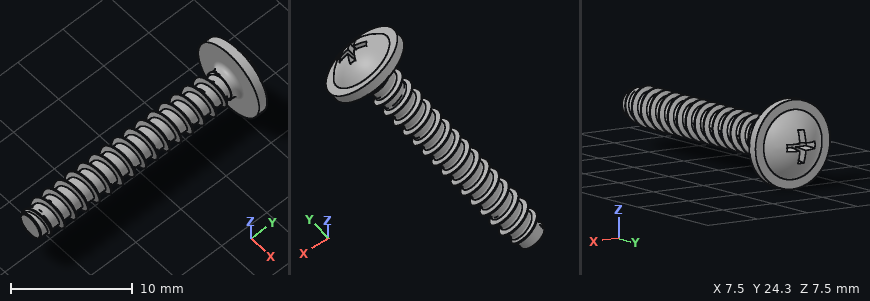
import cadquery as cq
import math


flange_diameter = 7.5
flange_thickness = 0.9
dome_base_diameter = 5.85
head_height = 2.36

recess_diameter = 2.9
recess_wing_width = 0.62
recess_depth = 1.3
recess_taper = 10.0

shank_length = 22.0
neck_radius = 1.37
neck_length = 0.89
neck_fillet = 0.5
core_radius = 1.27
tip_radius = 1.17
tip_length = 0.1

thread_radius = 1.75
thread_pitch = 1.29
full_turns = 14
head_fade_turns = 1
tip_fade_turns = 1.25
fade_radius = 1.36
thread_start = 0.72

crest_width = 0.1
lower_flank_reach = 0.2
knee_radius = 1.33
knee_reach = 0.24
shoulder_reach = 0.46
edge_sink = 0.01
root_sink = 0.1

thread_length = (full_turns + head_fade_turns + tip_fade_turns) * thread_pitch
thread_stop = thread_start + thread_length


def make_head():
    """Domed washer head with its filleted neck, without the recess."""
    dome_base = dome_base_diameter / 2
    dome_height = head_height - flange_thickness
    dome_radius = (dome_base**2 + dome_height**2) / (2 * dome_height)
    half_sweep = math.asin(dome_base / dome_radius) / 2
    dome_middle = (
        dome_radius * math.sin(half_sweep),
        head_height - dome_radius * (1 - math.cos(half_sweep)),
    )
    fillet_inset = neck_fillet * (1 - math.sqrt(0.5))
    fillet_middle = (neck_radius + fillet_inset, -fillet_inset)

    return (
        cq.Workplane("XY")
        .moveTo(0, head_height)
        .threePointArc(dome_middle, (dome_base, flange_thickness))
        .lineTo(flange_diameter / 2, flange_thickness)
        .lineTo(flange_diameter / 2, 0)
        .lineTo(neck_radius + neck_fillet, 0)
        .threePointArc(fillet_middle, (neck_radius, -neck_fillet))
        .lineTo(neck_radius, -neck_length)
        .lineTo(0, -neck_length)
        .close()
        .revolve(360, (0, 0, 0), (0, 1, 0))
    )


def make_recess():
    """Cross-shaped driver recess, narrowing from the top of the head downward."""
    half_span = recess_diameter / 2
    half_wing = recess_wing_width / 2
    top_plane = cq.Plane(origin=(0, head_height, 0), xDir=(1, 0, 0), normal=(0, -1, 0))

    def wing(size_x, size_z):
        taper_run = recess_depth * math.tan(math.radians(recess_taper))
        return (
            cq.Workplane(top_plane)
            .rect(size_x, size_z)
            .workplane(offset=recess_depth)
            .rect(size_x - 2 * taper_run, size_z - taper_run)
            .loft(ruled=True)
        )

    along_x = wing(2 * half_span, 2 * half_wing)
    along_z = along_x.rotate((0, 0, 0), (0, 1, 0), 90)
    return along_x.union(along_z)


def make_core():
    """Plain cylinder that carries the thread."""
    return cq.Workplane("XZ").circle(core_radius).extrude(shank_length)


def make_tip_trim():
    """Ring that tapers the end of the core."""
    return (
        cq.Workplane("XY")
        .moveTo(core_radius, -shank_length + tip_length)
        .lineTo(tip_radius, -shank_length)
        .lineTo(core_radius, -shank_length)
        .close()
        .revolve(360, (0, 0, 0), (0, 1, 0))
    )


def make_helix(start_turn, turns, start_radius, end_radius, lift):
    """Stretch of a helix about Z, raised by lift and changing evenly in radius."""
    origin = cq.Vector(0, 0, 0)
    axis = cq.Vector(0, 0, 1)
    rise = turns * thread_pitch
    if start_radius == end_radius:
        helix = cq.Wire.makeHelix(thread_pitch, rise, start_radius)
    else:
        cone_angle = math.atan2(end_radius - start_radius, rise)
        slant = 1 / math.cos(cone_angle)
        helix = cq.Wire.makeHelix(
            thread_pitch * slant,
            rise * slant,
            start_radius,
            origin,
            axis,
            math.degrees(cone_angle),
        )
    turned = helix.rotate(origin, axis, 360 * start_turn)
    return turned.translate(axis * (start_turn * thread_pitch + lift)).Edges()[0]


def thread_form(crest_radius):
    """Corners (radius, height) of the thread form, from its tip side to its head side."""
    half_crest = crest_width / 2
    edge_radius = core_radius - edge_sink
    hidden_radius = core_radius - root_sink
    return [
        (hidden_radius, -lower_flank_reach),
        (edge_radius, -lower_flank_reach),
        (crest_radius, -half_crest),
        (crest_radius, half_crest),
        (knee_radius, knee_reach),
        (edge_radius, shoulder_reach),
        (hidden_radius, shoulder_reach),
    ]


def make_ridge_faces(start_turn, turns, start_crest, end_crest):
    """Helical faces of one stretch of thread, with its crest radius at either end."""
    corner_pairs = zip(thread_form(start_crest), thread_form(end_crest))
    helices = [
        make_helix(start_turn, turns, start_radius, end_radius, height)
        for (start_radius, height), (end_radius, _) in corner_pairs
    ]
    return [
        cq.Face.makeRuledSurface(helices[i - 1], helices[i])
        for i in range(len(helices))
    ]


def make_ridge_end(turn, crest_radius):
    """Flat face closing the thread after the given number of turns."""
    angle = 2 * math.pi * turn
    corners = [
        cq.Vector(radius * math.cos(angle), radius * math.sin(angle), turn * thread_pitch + height)
        for radius, height in thread_form(crest_radius)
    ]
    return cq.Face.makeFromWires(cq.Wire.makePolygon(corners, close=True))


def make_thread():
    """Right-hand thread that rises below the head and fades out near the tip."""
    head_fade_start = tip_fade_turns + full_turns
    stretches = [
        (0, tip_fade_turns, fade_radius, thread_radius),
        (tip_fade_turns, full_turns, thread_radius, thread_radius),
        (head_fade_start, head_fade_turns, thread_radius, fade_radius),
    ]
    faces = [
        make_ridge_end(0, fade_radius),
        make_ridge_end(head_fade_start + head_fade_turns, fade_radius),
    ]
    for stretch in stretches:
        faces += make_ridge_faces(*stretch)
    ridge = cq.Solid.makeSolid(cq.Shell.makeShell(faces))
    return (
        cq.Workplane(ridge)
        .rotate((0, 0, 0), (0, 0, 1), 180)
        .rotate((0, 0, 0), (1, 0, 0), -90)
        .translate((0, -thread_stop, 0))
    )


shank = make_core().union(make_thread()).cut(make_tip_trim())
result = make_head().union(shank).cut(make_recess())